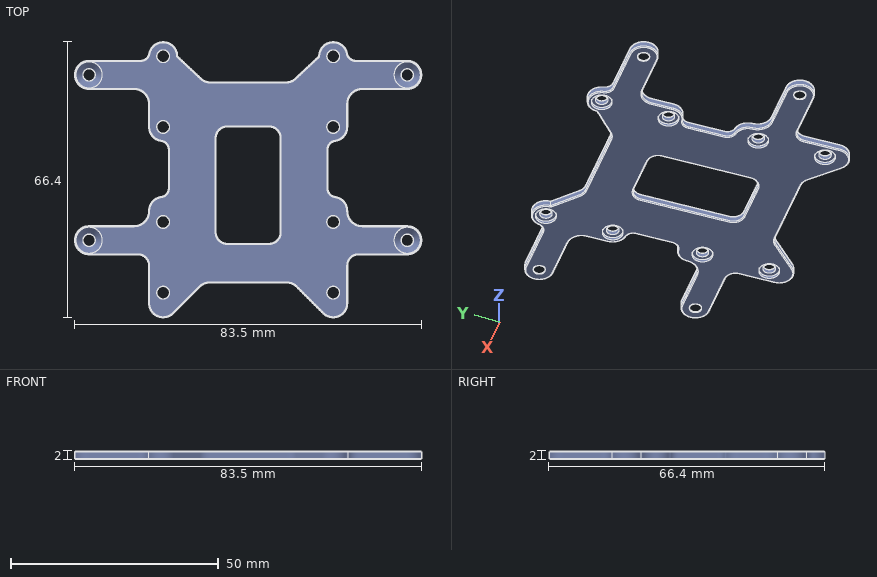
import cadquery as cq
import math

thickness = 2.0
overall_length = 83.53
overall_width = 66.41
edge_chamfer = 0.25
end_radius = 3.5

arm_hole_x = overall_length / 2 - end_radius
upper_arm_y = 25.22
lower_arm_y = -14.55
arm_hole_diameter = 2.9
countersink_diameter = 6.3
countersink_angle = 90

lug_x = 20.45
upper_lug_y = overall_width / 2 - end_radius
lower_lug_y = -upper_lug_y
upper_shoulder_y = 12.7
lower_shoulder_y = -7.5
side_x = lug_x + end_radius

lug_hole_diameter = 3.0
recess_diameter = 5.0
recess_depth = 0.75
hole_pitch = 17.0
upper_hole_y = upper_lug_y
lower_hole_y = -10.15

waist_x = 19.2
top_edge_y = 23.55
bottom_edge_y = -24.85
top_corner_x = 10.4
bottom_slope_angle = math.radians(45)

shoulder_radius = 2.0
upper_lug_radius = 2.0
inner_arm_radius = 3.5
outer_arm_radius = 2.6
slope_radius = 3.0

window_length = 15.4
window_top_y = 12.7
window_bottom_y = -15.3
window_radius = 2.7


def disc(x, y):
    """Rounded end of a lug or an arm, over the full thickness."""
    return cq.Workplane("XY").center(x, y).circle(end_radius).extrude(thickness)


def arms(y):
    """Left and right arm, each from a lug out to its rounded end."""
    reach = arm_hole_x - lug_x
    bar = (
        cq.Workplane("XY")
        .center(lug_x + reach / 2, y)
        .rect(reach, 2 * end_radius)
        .extrude(thickness)
    )
    right_arm = bar.union(disc(arm_hole_x, y))
    return right_arm.union(right_arm.mirror("YZ"))


def body():
    """Central body with its lugs, corners still sharp."""
    tangent_x = lug_x - end_radius * math.sin(bottom_slope_angle)
    tangent_y = lower_lug_y - end_radius * math.cos(bottom_slope_angle)
    bottom_corner_x = tangent_x - (bottom_edge_y - tangent_y) / math.tan(bottom_slope_angle)
    right_half = [
        (0, top_edge_y),
        (top_corner_x, top_edge_y),
        (lug_x - end_radius, upper_lug_y),
        (lug_x, upper_lug_y),
        (lug_x, upper_arm_y),
        (side_x, upper_arm_y),
        (side_x, upper_shoulder_y),
        (waist_x, upper_shoulder_y),
        (waist_x, lower_shoulder_y),
        (side_x, lower_shoulder_y),
        (side_x, lower_lug_y),
        (lug_x, lower_lug_y),
        (tangent_x, tangent_y),
        (bottom_corner_x, bottom_edge_y),
        (0, bottom_edge_y),
    ]
    solid = cq.Workplane("XY").polyline(right_half).close().extrude(thickness)
    for y in (upper_lug_y, upper_shoulder_y, lower_shoulder_y, lower_lug_y):
        solid = solid.union(disc(lug_x, y))
    return solid.union(solid.mirror("YZ")), bottom_corner_x


def round_corners(solid, x, y, radius):
    """Round the vertical edges at (x, y) and at its mirror image (-x, y)."""
    reach = 0.2
    for side in (-1, 1):
        box = cq.selectors.BoxSelector(
            (side * x - reach, y - reach, 0),
            (side * x + reach, y + reach, thickness),
        )
        solid = solid.edges("|Z").edges(box).fillet(radius)
    return solid


def outline():
    """Plate outline with all corners rounded."""
    solid, bottom_corner_x = body()
    solid = solid.union(arms(upper_arm_y)).union(arms(lower_arm_y)).clean()

    arm_top_y = upper_arm_y + end_radius
    lug_drop = upper_lug_y - arm_top_y
    lug_side_x = lug_x + math.sqrt(end_radius**2 - lug_drop**2)

    shoulder_drop = math.sqrt(end_radius**2 - (lug_x - waist_x) ** 2)

    corners = [
        (lug_side_x, arm_top_y, upper_lug_radius),
        (side_x, upper_arm_y - end_radius, inner_arm_radius),
        (side_x, lower_arm_y + end_radius, inner_arm_radius),
        (side_x, lower_arm_y - end_radius, outer_arm_radius),
        (waist_x, upper_shoulder_y - shoulder_drop, shoulder_radius),
        (waist_x, lower_shoulder_y + shoulder_drop, shoulder_radius),
        (top_corner_x, top_edge_y, slope_radius),
        (bottom_corner_x, bottom_edge_y, slope_radius),
    ]
    for x, y, radius in corners:
        solid = round_corners(solid, x, y, radius)
    return solid


def window():
    """Rounded rectangular opening in the middle of the plate."""
    return (
        cq.Workplane("XY")
        .center(0, (window_top_y + window_bottom_y) / 2)
        .rect(window_length, window_top_y - window_bottom_y)
        .extrude(thickness)
        .edges("|Z")
        .fillet(window_radius)
    )


def both_sides(x, heights):
    """Points at the given heights on the left and right of the plate."""
    return [(side * x, y) for y in heights for side in (-1, 1)]


def bottom_recesses(points):
    """Round counterbores in the bottom face, concentric with the holes at the given points."""
    return cq.Workplane("XY").pushPoints(points).circle(recess_diameter / 2).extrude(recess_depth)


lug_holes = both_sides(
    lug_x,
    (upper_hole_y, upper_hole_y - hole_pitch, lower_hole_y, lower_hole_y - hole_pitch),
)
arm_holes = both_sides(arm_hole_x, (upper_arm_y, lower_arm_y))

plate = outline().cut(window()).faces("<Z or >Z").chamfer(edge_chamfer)
top_face = plate.faces(">Z").workplane(origin=(0, 0, thickness))
plate = top_face.pushPoints(lug_holes).hole(lug_hole_diameter)
top_face = plate.faces(">Z").workplane(origin=(0, 0, thickness))
plate = top_face.pushPoints(arm_holes).cskHole(arm_hole_diameter, countersink_diameter, countersink_angle)
result = plate.cut(bottom_recesses(lug_holes))